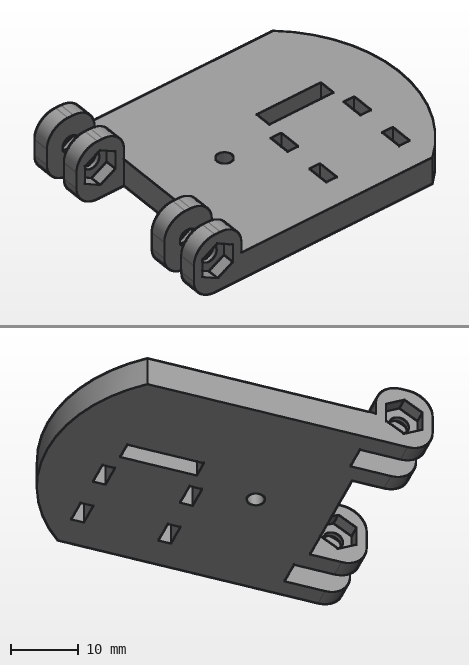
import cadquery as cq

plate_width = 38.0
total_length = 53.75
shoulder_y = 45.05
plate_thickness = 5.05

lug_length = 9.0
lug_height = 11.0
lug_thickness = 3.0
lug_gap = 4.05
lug_corner_radius = 4.0
gap_end_y = 10.4

pin_y = lug_length / 2
pin_z = 5.75
pin_diameter = 3.0
nut_corner_diameter = 6.6
nut_pocket_depth = 2.1

screw_hole_diameter = 2.7
screw_hole_y = 20.85
long_slot_size = (3.0, 12.1)
long_slot_center = (-3.55, 37.0)
short_slot_size = (4.05, 2.0)
short_slot_grid_center = (7.2, 37.0)
short_slot_spacing = (9.2, 13.75)

half_width = plate_width / 2
pair_width = 2 * lug_thickness + lug_gap


def make_plate():
    """Flat plate with straight sides and a domed far end."""
    return (
        cq.Workplane("XY")
        .moveTo(-half_width, lug_length)
        .lineTo(half_width, lug_length)
        .lineTo(half_width, shoulder_y)
        .threePointArc((0, total_length), (-half_width, shoulder_y))
        .close()
        .extrude(plate_thickness)
    )


def make_lug_pair(start_x):
    """Rounded hinge block spanning one pair of lugs, still without its clearance."""
    block = cq.Workplane("XY").box(pair_width, lug_length, lug_height, centered=False)
    top_corners = block.edges("|X and >Z")
    near_bottom_corner = block.edges("|X and <Z and <Y")
    return (
        block.newObject(top_corners.vals() + near_bottom_corner.vals())
        .fillet(lug_corner_radius)
        .translate((start_x, 0, 0))
    )


def make_lug_clearance(start_x):
    """Gap that splits a hinge block into two lugs."""
    return (
        cq.Workplane("XY")
        .box(lug_gap, gap_end_y, lug_height, centered=False)
        .translate((start_x + lug_thickness, 0, 0))
    )


def make_nut_pocket(start_x):
    """Hexagonal recess starting at the given X, with corners pointing up and down."""
    return (
        cq.Workplane("YZ", origin=(start_x, pin_y, pin_z))
        .transformed(rotate=(0, 0, 90))
        .polygon(6, nut_corner_diameter)
        .extrude(nut_pocket_depth)
    )


def make_pin_hole():
    """Hinge pin bore through all four lugs."""
    return (
        cq.Workplane("YZ", origin=(-half_width, pin_y, pin_z))
        .circle(pin_diameter / 2)
        .extrude(plate_width)
    )


def make_plate_openings():
    """Screw hole, long slot and the two-by-two grid of short slots."""
    screw_hole = (
        cq.Workplane("XY")
        .center(0, screw_hole_y)
        .circle(screw_hole_diameter / 2)
        .extrude(plate_thickness)
    )
    long_slot = (
        cq.Workplane("XY")
        .center(*long_slot_center)
        .rect(*long_slot_size)
        .extrude(plate_thickness)
    )
    short_slots = (
        cq.Workplane("XY")
        .center(*short_slot_grid_center)
        .rarray(*short_slot_spacing, 2, 2)
        .rect(*short_slot_size)
        .extrude(plate_thickness)
    )
    return screw_hole.union(long_slot).union(short_slots)


result = make_plate()
for pair_start_x in (-half_width, half_width - pair_width):
    far_pocket_x = pair_start_x + pair_width - nut_pocket_depth
    result = (
        result.union(make_lug_pair(pair_start_x))
        .cut(make_lug_clearance(pair_start_x))
        .cut(make_nut_pocket(pair_start_x))
        .cut(make_nut_pocket(far_pocket_x))
    )
result = result.cut(make_pin_hole()).cut(make_plate_openings())